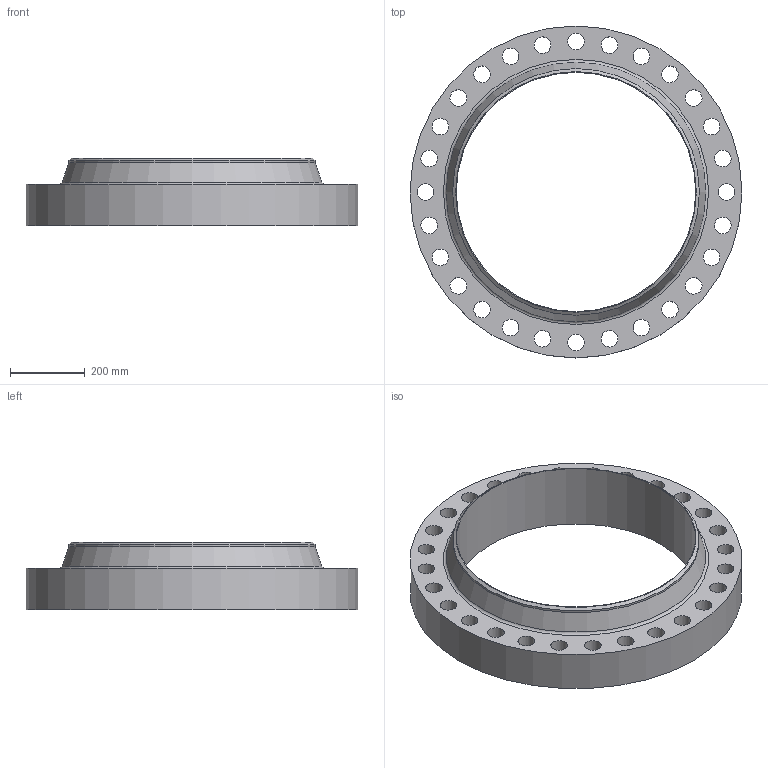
import cadquery as cq
import math

flange_diameter = 889.0
flange_thickness = 111.25
overall_height = 180.85
bore_diameter = 641.35

hub_base_diameter = 698.5
hub_top_diameter = 660.4
hub_base_fillet = 8.0

neck_length = 6.0
weld_land = 1.6
weld_bevel_angle = 37.5

bolt_count = 28
bolt_circle_diameter = 806.45
bolt_hole_diameter = 44.45


def revolved_body():
    """Flange plate, hub and weld neck as one ring, before filleting."""
    bore_radius = bore_diameter / 2
    flange_radius = flange_diameter / 2
    hub_top_radius = hub_top_diameter / 2
    land_radius = bore_radius + weld_land
    bevel_height = (hub_top_radius - land_radius) * math.tan(math.radians(weld_bevel_angle))
    bevel_start = overall_height - bevel_height
    profile = (
        cq.Workplane("XZ")
        .moveTo(bore_radius, 0)
        .lineTo(flange_radius, 0)
        .lineTo(flange_radius, flange_thickness)
        .lineTo(hub_base_diameter / 2, flange_thickness)
        .lineTo(hub_top_radius, bevel_start - neck_length)
        .lineTo(hub_top_radius, bevel_start)
        .lineTo(land_radius, overall_height)
        .lineTo(bore_radius, overall_height)
        .close()
    )
    return profile.revolve(360, (0, 0, 0), (0, 1, 0))


def fillet_hub_base(body):
    """Round the corner where the hub meets the flange plate."""
    search_margin = 1.0
    search_half_width = hub_base_diameter / 2 + search_margin
    hub_base_edge = cq.selectors.BoxSelector(
        (-search_half_width, -search_half_width, flange_thickness - search_margin),
        (search_half_width, search_half_width, flange_thickness + search_margin),
        boundingbox=True,
    )
    return body.edges(hub_base_edge).fillet(hub_base_fillet)


def drill_bolt_holes(body):
    """Cut the evenly spaced through holes on the bolt circle."""
    holes = (
        cq.Workplane("XY")
        .polarArray(bolt_circle_diameter / 2, 0, 360, bolt_count)
        .circle(bolt_hole_diameter / 2)
        .extrude(flange_thickness)
    )
    return body.cut(holes)


result = drill_bolt_holes(fillet_hub_base(revolved_body()))